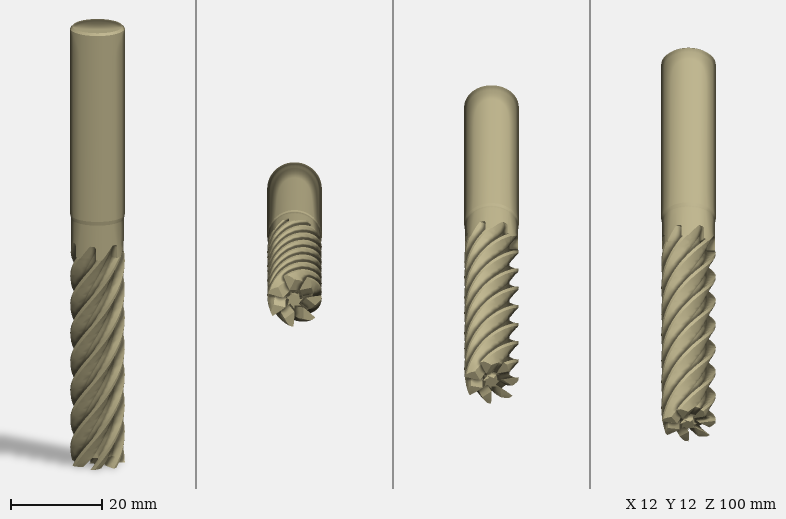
import cadquery as cq
import math

TOTAL_LENGTH = 100.0
RADIUS = 6.0

FLUTED_LENGTH = 48.0
NECK_RADIUS = 5.8
NECK_TOP = 56.0
NECK_CONE_HEIGHT = 0.9
END_CHAMFER = 0.5

TOOTH_COUNT = 7
PITCH_ANGLE = 360.0 / TOOTH_COUNT
CORE_RADIUS = 4.0
LAND_ANGLE = 8.0
LAND_DROP = 0.1
BACK_ANGLE = 34.0
BACK_BULGE = 0.3
RAKE_ANGLE = 1.5
HELIX_LEAD = 46.0
FIRST_EDGE_ANGLE = -79.5

RUNOUT_HEIGHT = 3.1
RUNOUT_CORNER = 0.6
RUNOUT_WALL_LAG = 4.5

GASH_HEIGHT = 2.2
GASH_RAMP_LENGTH = 2.0
GASH_MEAN_RADIUS = 5.0
GASH_INNER_RADIUS = 1.2

CLEAR = 2.0


def polar(radius, degrees):
    angle = math.radians(degrees)
    return radius * math.cos(angle), radius * math.sin(angle)


def twist_over(height):
    return 360.0 * height / HELIX_LEAD


def back_middle(edge):
    """Middle point of the bulged tooth back that follows the land."""
    land_end = polar(RADIUS - LAND_DROP, edge + LAND_ANGLE)
    root = polar(CORE_RADIUS, edge + BACK_ANGLE)
    middle_x = (land_end[0] + root[0]) / 2
    middle_y = (land_end[1] + root[1]) / 2
    middle_radius = math.hypot(middle_x, middle_y)
    return polar(middle_radius + BACK_BULGE, math.degrees(math.atan2(middle_y, middle_x)))


def tooth_outline():
    """Closed section of the fluted part at its lower end."""
    outline = cq.Workplane("XY").moveTo(*polar(RADIUS, FIRST_EDGE_ANGLE))
    for tooth in range(TOOTH_COUNT):
        edge = FIRST_EDGE_ANGLE + tooth * PITCH_ANGLE
        next_edge = edge + PITCH_ANGLE
        root_end = next_edge - RAKE_ANGLE
        root_middle = (edge + BACK_ANGLE + root_end) / 2
        outline = (
            outline.lineTo(*polar(RADIUS - LAND_DROP, edge + LAND_ANGLE))
            .threePointArc(back_middle(edge), polar(CORE_RADIUS, edge + BACK_ANGLE))
            .threePointArc(polar(CORE_RADIUS, root_middle), polar(CORE_RADIUS, root_end))
            .lineTo(*polar(RADIUS, next_edge))
        )
    return outline.close()


def radial_prism(outline_points, angle, inner_radius):
    """Prism along a radius; outline points are (tangential, Z), tangential being counter-clockwise."""
    outward = polar(1.0, angle)
    tangent = polar(1.0, angle + 90)
    plane = cq.Plane(
        origin=(inner_radius * outward[0], inner_radius * outward[1], 0),
        xDir=(tangent[0], tangent[1], 0),
        normal=(outward[0], outward[1], 0),
    )
    return cq.Workplane(plane).polyline(outline_points).close().extrude(RADIUS + CLEAR)


def gash(edge):
    """Notch in the end face: a wall leaning with the helix, a flat roof and a ramp away from the tooth."""
    wall_slope = 2 * math.pi * GASH_MEAN_RADIUS / HELIX_LEAD
    ramp_slope = GASH_RAMP_LENGTH / GASH_HEIGHT
    points = [
        (-CLEAR * wall_slope, -CLEAR),
        (GASH_HEIGHT * wall_slope, GASH_HEIGHT),
        (0, GASH_HEIGHT),
        (-(GASH_HEIGHT + CLEAR) * ramp_slope, -CLEAR),
    ]
    return radial_prism(points, edge - RAKE_ANGLE, GASH_INNER_RADIUS)


def make_cutter():
    cutter = tooth_outline().twistExtrude(FLUTED_LENGTH, twist_over(FLUTED_LENGTH))
    for tooth in range(TOOTH_COUNT):
        cutter = cutter.cut(gash(FIRST_EDGE_ANGLE + tooth * PITCH_ANGLE))
    return cutter


def runout(edge):
    """End of one flute: it follows the helix but stops at an axial wall and a rounded top."""
    back_end = edge - PITCH_ANGLE + BACK_ANGLE
    land_end = edge - PITCH_ANGLE + LAND_ANGLE
    root_end = edge - RAKE_ANGLE
    outer = RADIUS + CLEAR
    flute = (
        cq.Workplane("XY", origin=(0, 0, FLUTED_LENGTH))
        .moveTo(*polar(outer, edge))
        .lineTo(*polar(CORE_RADIUS, root_end))
        .threePointArc(polar(CORE_RADIUS, (back_end + root_end) / 2), polar(CORE_RADIUS, back_end))
        .threePointArc(back_middle(edge - PITCH_ANGLE), polar(RADIUS - LAND_DROP, land_end))
        .lineTo(*polar(outer, land_end))
        .threePointArc(polar(outer, (land_end + edge) / 2), polar(outer, edge))
        .close()
        .twistExtrude(RUNOUT_HEIGHT + CLEAR, twist_over(RUNOUT_HEIGHT + CLEAR))
    )
    top = FLUTED_LENGTH + RUNOUT_HEIGHT
    bottom = FLUTED_LENGTH - CLEAR
    points = [(0, bottom), (0, top), (-RADIUS, top), (-RADIUS, bottom)]
    wall_angle = edge - RUNOUT_WALL_LAG
    limits = radial_prism(points, wall_angle, 0.0)
    corner_x, corner_y = polar(RADIUS, wall_angle)
    wall_top = cq.selectors.NearestToPointSelector((corner_x, corner_y, top))
    limits = limits.edges(wall_top).fillet(RUNOUT_CORNER)
    return flute.intersect(limits)


def make_shank():
    cone_top = NECK_TOP + NECK_CONE_HEIGHT
    shank = (
        cq.Workplane("XZ")
        .moveTo(0, FLUTED_LENGTH)
        .lineTo(NECK_RADIUS, FLUTED_LENGTH)
        .lineTo(NECK_RADIUS, NECK_TOP)
        .lineTo(RADIUS, cone_top)
        .lineTo(RADIUS, TOTAL_LENGTH - END_CHAMFER)
        .lineTo(RADIUS - END_CHAMFER, TOTAL_LENGTH)
        .lineTo(0, TOTAL_LENGTH)
        .close()
        .revolve(360, (0, 0, 0), (0, 1, 0))
    )
    first_top_edge = FIRST_EDGE_ANGLE + twist_over(FLUTED_LENGTH)
    for tooth in range(TOOTH_COUNT):
        shank = shank.cut(runout(first_top_edge + tooth * PITCH_ANGLE))
    return shank


shank = make_shank()
cutter = make_cutter()
result = cq.Compound.makeCompound([shank.val(), cutter.val()])